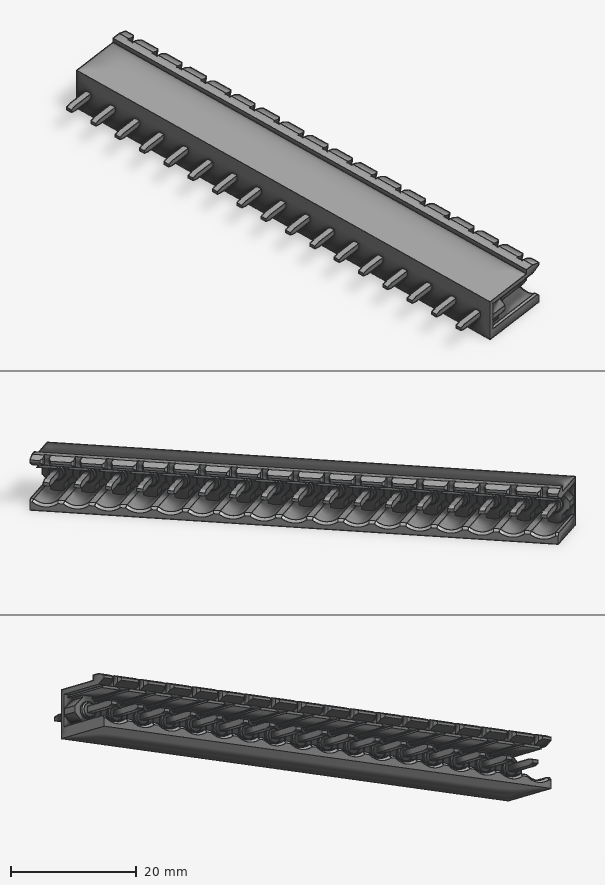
import cadquery as cq


length = 86.25
depth = 12.0
wall_top = 7.9
floor_top = 1.8
ceiling = 7.1
back_wall = 0.8
floor_chamfer = 0.4

lip_top = 8.8
lip_back = 8.9
lip_slope_start = 10.4
lip_tip_low = 7.85
lip_tip_high = 8.3

pin_count = 17
end_margin = 2.5
pitch = (length - 2 * end_margin) / (pin_count - 1)
pin_width = 1.0
pin_height = 4.2
pin_tail = -4.8
pin_nose = 11.2
pin_taper_length = 0.95
pin_taper_rise = 0.3

notch_width = 1.0
notch_end = 10.2
notch_flare_width = 1.7
notch_flare_length = 0.7

channel_radius = 3.1

rail_bottom = 6.6
rail_top_width = 2.8
rail_bottom_width = 3.6
rail_end = 10.3

block_end = 3.7
block_base = floor_top / 2
block_width = 4.9
block_foot_width = 2.2
block_neck_width = 1.9
block_side_height = 1.0
collar_diameter = 2.8
collar_end = 4.4
collar_chamfer = 0.3

pin_places = [(i - (pin_count - 1) / 2) * pitch for i in range(pin_count)]


def extrude_along_y(outline, start, end):
    """Extrude a list of (X, Z) points from Y = start to Y = end."""
    plane = cq.Workplane("XZ", origin=(0, start, 0))
    return plane.polyline(outline).close().extrude(start - end)


def extrude_along_x(outline, width):
    """Extrude a list of (Y, Z) points over a width centred on X = 0."""
    return cq.Workplane("YZ").polyline(outline).close().extrude(width / 2, both=True)


def make_housing():
    outline = [
        (0, 0),
        (depth, 0),
        (depth, floor_top - floor_chamfer),
        (depth - floor_chamfer, floor_top),
        (back_wall, floor_top),
        (back_wall, ceiling),
        (lip_slope_start, ceiling),
        (depth, lip_tip_low),
        (depth, lip_tip_high),
        (lip_slope_start, lip_top),
        (lip_back, lip_top),
        (lip_back, wall_top),
        (0, wall_top),
    ]
    return extrude_along_x(outline, length)


def make_channel():
    mouth_radius = channel_radius + floor_chamfer
    profile = [
        (0, back_wall),
        (channel_radius, back_wall),
        (channel_radius, depth - floor_chamfer),
        (mouth_radius, depth),
        (0, depth),
    ]
    bore = cq.Workplane("XY").polyline(profile).close().revolve(360, (0, 0), (0, 1))
    lower_half = cq.Workplane("XY").box(2 * mouth_radius, 2 * depth, mouth_radius).translate(
        (0, 0, -mouth_radius / 2)
    )
    return bore.intersect(lower_half).translate((0, 0, pin_height))


def make_notch():
    half = notch_width / 2
    flare_half = notch_flare_width / 2
    flare_start = depth - notch_flare_length
    outline = [
        (-half, notch_end),
        (half, notch_end),
        (half, flare_start),
        (flare_half, depth),
        (-flare_half, depth),
        (-half, flare_start),
    ]
    plane = cq.Workplane("XY", origin=(0, 0, pin_height))
    return plane.polyline(outline).close().extrude(lip_top - pin_height)


def make_rail():
    outline = [
        (-rail_bottom_width / 2, rail_bottom),
        (rail_bottom_width / 2, rail_bottom),
        (rail_top_width / 2, ceiling),
        (-rail_top_width / 2, ceiling),
    ]
    return extrude_along_y(outline, back_wall, rail_end)


def make_block():
    side_low = pin_height - block_side_height / 2
    side_high = pin_height + block_side_height / 2
    right_side = [
        (block_foot_width / 2, block_base),
        (block_foot_width / 2, side_low - (block_width - block_foot_width) / 2),
        (block_width / 2, side_low),
        (block_width / 2, side_high),
        (block_neck_width / 2, side_high + (block_width - block_neck_width) / 2),
        (block_neck_width / 2, ceiling),
    ]
    left_side = [(-x, z) for x, z in reversed(right_side)]
    return extrude_along_y(right_side + left_side, back_wall, block_end)


def make_collar():
    plane = cq.Workplane("XZ", origin=(0, block_end, pin_height))
    collar = plane.circle(collar_diameter / 2).extrude(block_end - collar_end)
    return collar.faces(">Y").chamfer(collar_chamfer)


def make_pin():
    half = pin_width / 2
    tip_half = half - pin_taper_rise
    lower_side = [
        (pin_tail, pin_height - tip_half),
        (pin_tail + pin_taper_length, pin_height - half),
        (pin_nose - pin_taper_length, pin_height - half),
        (pin_nose, pin_height - tip_half),
    ]
    upper_side = [(y, 2 * pin_height - z) for y, z in reversed(lower_side)]
    return extrude_along_x(lower_side + upper_side, pin_width)


def repeat_at_pins(feature):
    copies = [feature.val().translate(cq.Vector(x, 0, 0)) for x in pin_places]
    return cq.Workplane(cq.Compound.makeCompound(copies))


contact = make_pin().union(make_block()).union(make_collar()).union(make_rail())

result = (
    make_housing()
    .cut(repeat_at_pins(make_channel()))
    .cut(repeat_at_pins(make_notch()))
    .union(repeat_at_pins(contact))
)